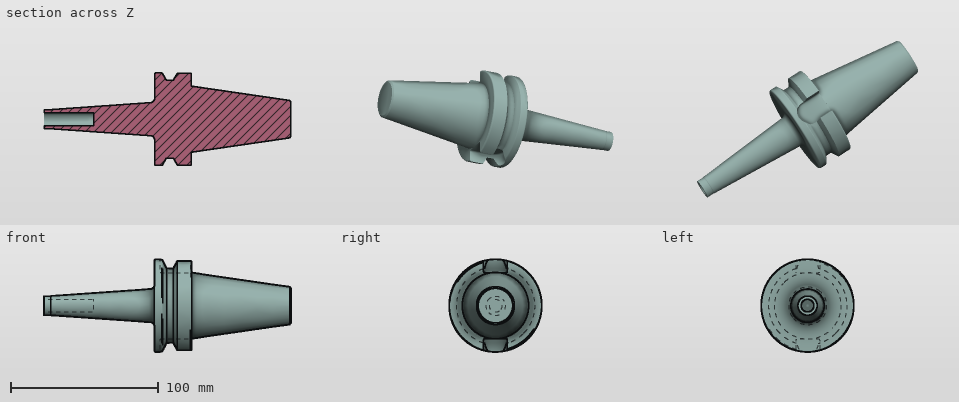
import cadquery as cq
import math

total_length = 167.4
flange_front = 74.8
flange_length = 25.3
flange_back = flange_front + flange_length

nose_radius = 13.0 / 2
nose_length = 4.7
nose_bevel_length = 0.5
nose_bevel_height = 0.2
bore_diameter = 8.5
bore_depth = 33.5
neck_radius = 22.6 / 2
neck_collar_length = 4.0
neck_fillet = 2.8

flange_radius = 63.0 / 2
flange_rim_fillet = 1.0
groove_radius = 53.0 / 2
groove_floor_start = flange_front + 8.2
groove_floor_width = 4.5
groove_flank_angle = 30.0
groove_lip_fillet = 0.8

slot_width = 16.2
slot_floor_height = 22.5
slot_end_gap = 3.5
slot_floor_fillet = 1.0

taper_end_radius = 25.5 / 2
taper_end_chamfer = 1.0
taper_ratio = 7 / 24


def make_body():
    """Revolve the holder's half profile about the X axis."""
    flank_run = (flange_radius - groove_radius) * math.tan(math.radians(groove_flank_angle))
    groove_floor_end = groove_floor_start + groove_floor_width
    taper_start_radius = taper_end_radius + (total_length - flange_back) * taper_ratio / 2
    chamfer_start_radius = taper_end_radius + taper_end_chamfer * taper_ratio / 2

    lip_x = groove_floor_start - flank_run
    lip_angle = math.radians(90 - groove_flank_angle)
    lip_setback = groove_lip_fillet * math.tan(lip_angle / 2)
    lip_centre = (lip_x - lip_setback, flange_radius - groove_lip_fillet)

    def lip_point(angle):
        return (
            lip_centre[0] + groove_lip_fillet * math.sin(angle),
            lip_centre[1] + groove_lip_fillet * math.cos(angle),
        )

    fillet_centre = (flange_front - neck_fillet, neck_radius + neck_fillet)
    fillet_middle = (
        fillet_centre[0] + neck_fillet * math.sqrt(0.5),
        fillet_centre[1] - neck_fillet * math.sqrt(0.5),
    )

    profile = (
        cq.Workplane("XY")
        .moveTo(0, 0)
        .lineTo(0, nose_radius)
        .lineTo(nose_length, nose_radius)
        .lineTo(nose_length + nose_bevel_length, nose_radius + nose_bevel_height)
        .lineTo(flange_front - neck_collar_length, neck_radius)
        .lineTo(fillet_centre[0], neck_radius)
        .threePointArc(fillet_middle, (flange_front, fillet_centre[1]))
        .lineTo(flange_front, flange_radius - flange_rim_fillet)
        .tangentArcPoint((flange_front + flange_rim_fillet, flange_radius), relative=False)
        .lineTo(*lip_point(0))
        .threePointArc(lip_point(lip_angle / 2), lip_point(lip_angle))
        .lineTo(groove_floor_start, groove_radius)
        .lineTo(groove_floor_end, groove_radius)
        .lineTo(groove_floor_end + flank_run, flange_radius)
        .lineTo(flange_back - flange_rim_fillet, flange_radius)
        .tangentArcPoint((flange_back, flange_radius - flange_rim_fillet), relative=False)
        .lineTo(flange_back, taper_start_radius)
        .lineTo(total_length - taper_end_chamfer, chamfer_start_radius)
        .lineTo(total_length, taper_end_radius - taper_end_chamfer)
        .lineTo(total_length, 0)
        .close()
    )
    return profile.revolve(360, (0, 0, 0), (1, 0, 0))


def make_bore():
    return cq.Workplane("YZ").circle(bore_diameter / 2).extrude(bore_depth)


def make_slot_cutter():
    """Round-ended slot, open at the flange back, with rounded floor edges."""
    half_width = slot_width / 2
    front_x = flange_front + slot_end_gap
    arc_x = front_x + half_width
    overrun = slot_width
    cutter = (
        cq.Workplane("XY")
        .workplane(offset=slot_floor_height)
        .moveTo(flange_back + overrun, -half_width)
        .lineTo(arc_x, -half_width)
        .threePointArc((front_x, 0), (arc_x, half_width))
        .lineTo(flange_back + overrun, half_width)
        .close()
        .extrude(flange_radius)
        .faces("<Z")
        .edges()
        .fillet(slot_floor_fillet)
    )
    keep = cq.Workplane("XY").box(flange_back, slot_width, 4 * flange_radius, centered=(False, True, True))
    return cutter.intersect(keep)


slot = make_slot_cutter()
result = make_body().cut(make_bore()).cut(slot).cut(slot.mirror("XY"))